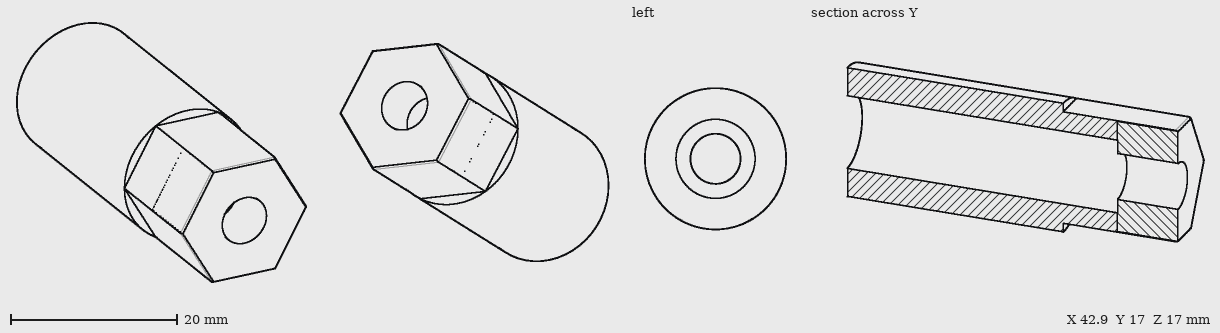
import cadquery as cq
import math

total_length = 42.85
outer_diameter = 17.0
barrel_length = 28.0
pocket_start = 35.0
pocket_wall = 0.15
housing_bore_diameter = 9.5
insert_bore_diameter = 6.0
rim_radius = 0.5

hexagon_sides = 6
pocket_diameter = outer_diameter - 2 * pocket_wall / math.cos(math.pi / hexagon_sides)

rounding_run = math.sqrt(rim_radius**2 - (rim_radius - pocket_wall) ** 2)
uncut_head_end = total_length - rounding_run + rim_radius


def round_bar(start, end, diameter):
    """Cylinder on the axis from x = start to x = end."""
    section = cq.Workplane("YZ", origin=(start, 0, 0))
    return section.circle(diameter / 2).extrude(end - start)


def hexagonal_bar(start, end, corner_diameter):
    """Hexagonal prism on the axis, with two flats facing +Z and -Z."""
    section = cq.Workplane("YZ", origin=(start, 0, 0))
    return section.polygon(hexagon_sides, corner_diameter).extrude(end - start)


def make_housing():
    """Round barrel with a hexagonal head, bored from the barrel end into a hexagonal pocket."""
    barrel = round_bar(0, barrel_length, outer_diameter)
    head = hexagonal_bar(barrel_length, uncut_head_end, outer_diameter)
    head = head.faces(">X").edges().fillet(rim_radius)
    bore = round_bar(0, pocket_start, housing_bore_diameter)
    pocket = hexagonal_bar(pocket_start, uncut_head_end, pocket_diameter)
    return barrel.union(head).cut(bore).cut(pocket)


def make_insert():
    """Hexagonal block that fills the pocket up to the rim, with a narrower bore through it."""
    block = hexagonal_bar(pocket_start, total_length, pocket_diameter)
    return block.cut(round_bar(pocket_start, total_length, insert_bore_diameter))


housing = make_housing()
insert = make_insert()

result = cq.Compound.makeCompound([housing.val(), insert.val()])